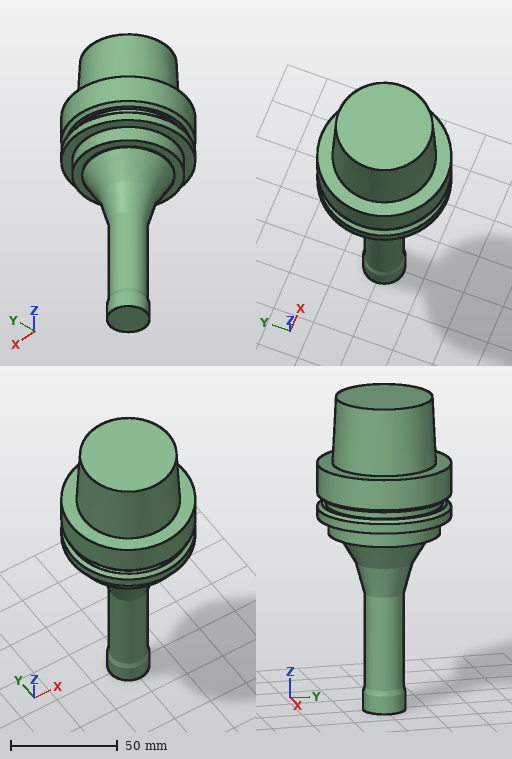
import cadquery as cq

TOTAL_LENGTH = 152.0
SHANK_LENGTH = 32.0
FLANGE_LENGTH = 26.0
COLLAR_LENGTH = 8.0
SHOULDER_LENGTH = 0.5
FLANGE_TOP = TOTAL_LENGTH - SHANK_LENGTH
FLANGE_BOTTOM = FLANGE_TOP - FLANGE_LENGTH
COLLAR_BOTTOM = FLANGE_BOTTOM - COLLAR_LENGTH
SHOULDER_BOTTOM = COLLAR_BOTTOM - SHOULDER_LENGTH
FLARE_JOINT = 71.7
STEM_TOP = 56.6
TIP_CONE_TOP = 11.2
TIP_CONE_BOTTOM = 8.65

SHANK_TAPER = 1 / 10
SHANK_TOP_RADIUS = 45.45 / 2
SHANK_BASE_RADIUS = SHANK_TOP_RADIUS + SHANK_LENGTH * SHANK_TAPER / 2
FLANGE_RADIUS = 63.0 / 2
COLLAR_RADIUS = 52.6 / 2
SHOULDER_RADIUS = 21.7
FLARE_JOINT_RADIUS = 13.4
STEM_RADIUS = 18.5 / 2
TIP_RADIUS = 20.0 / 2

GROOVE_MID_BELOW_FACE = 18.0
GROOVE_FLOOR_WIDTH = 3.6
GROOVE_RADIUS = 55.0 / 2
GROOVE_BEVEL_WIDTH = 2.2
GROOVE_BEVEL_HEIGHT = 1.6
GROOVE_MID = FLANGE_TOP - GROOVE_MID_BELOW_FACE
GROOVE_TOP = GROOVE_MID + GROOVE_FLOOR_WIDTH / 2
GROOVE_BOTTOM = GROOVE_MID - GROOVE_FLOOR_WIDTH / 2
GROOVE_LIP_RADIUS = FLANGE_RADIUS - GROOVE_BEVEL_WIDTH


def add_stem(profile):
    """Tip band, its short cone and the slender stem, starting on the axis."""
    return (
        profile
        .lineTo(TIP_RADIUS, 0)
        .lineTo(TIP_RADIUS, TIP_CONE_BOTTOM)
        .lineTo(STEM_RADIUS, TIP_CONE_TOP)
        .lineTo(STEM_RADIUS, STEM_TOP)
    )


def add_flare_and_collar(profile):
    """Two cones widening to a thin shoulder, then the cylindrical collar."""
    return (
        profile
        .lineTo(FLARE_JOINT_RADIUS, FLARE_JOINT)
        .lineTo(SHOULDER_RADIUS, SHOULDER_BOTTOM)
        .lineTo(SHOULDER_RADIUS, COLLAR_BOTTOM)
        .lineTo(COLLAR_RADIUS, COLLAR_BOTTOM)
        .lineTo(COLLAR_RADIUS, FLANGE_BOTTOM)
    )


def add_grooved_flange(profile):
    """Flange rim interrupted by the gripper groove."""
    return (
        profile
        .lineTo(FLANGE_RADIUS, FLANGE_BOTTOM)
        .lineTo(FLANGE_RADIUS, GROOVE_BOTTOM - GROOVE_BEVEL_HEIGHT)
        .lineTo(GROOVE_LIP_RADIUS, GROOVE_BOTTOM)
        .lineTo(GROOVE_RADIUS, GROOVE_BOTTOM)
        .lineTo(GROOVE_RADIUS, GROOVE_TOP)
        .lineTo(GROOVE_LIP_RADIUS, GROOVE_TOP)
        .lineTo(FLANGE_RADIUS, GROOVE_TOP + GROOVE_BEVEL_HEIGHT)
        .lineTo(FLANGE_RADIUS, FLANGE_TOP)
    )


def add_shank(profile):
    """Tapered shank, ending on the axis at the top face."""
    return (
        profile
        .lineTo(SHANK_BASE_RADIUS, FLANGE_TOP)
        .lineTo(SHANK_TOP_RADIUS, TOTAL_LENGTH)
        .lineTo(0, TOTAL_LENGTH)
    )


half_profile = cq.Workplane("YZ").moveTo(0, 0)
half_profile = add_stem(half_profile)
half_profile = add_flare_and_collar(half_profile)
half_profile = add_grooved_flange(half_profile)
half_profile = add_shank(half_profile)

result = half_profile.close().revolve(360, (0, 0, 0), (0, 1, 0))